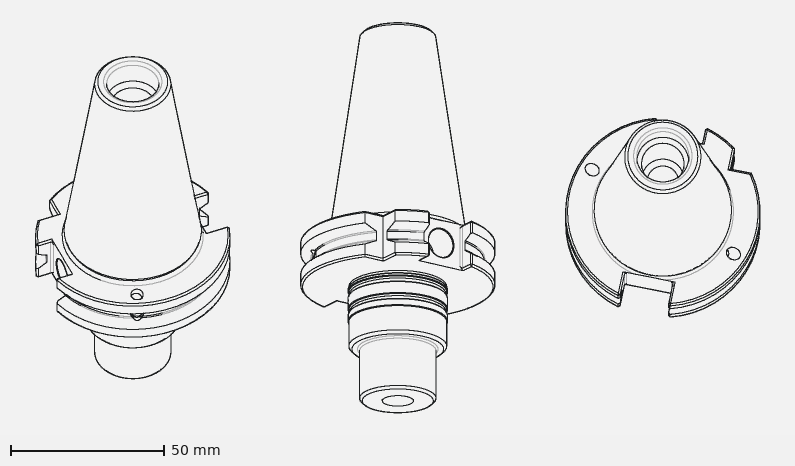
import cadquery as cq
import math

TOTAL_HEIGHT = 126.8
TAPER_RATIO = 7 / 24
GAUGE_Z = 58.3
GAUGE_DIAMETER = 44.5
TAPER_LOW_Z = 57.4
TAPER_RIM_CHAMFER = 1.0

NECK_DIAMETER = 43.7
NECK_FILLET_TOP_Z = 56.3

FLANGE_DIAMETER = 63.4
FLANGE_TOP_Z = 55.1
FLANGE_THICKNESS = 15.7
FLANGE_BOTTOM_Z = FLANGE_TOP_Z - FLANGE_THICKNESS
FLANGE_RADIUS = FLANGE_DIAMETER / 2
EDGE_CHAMFER = 0.6

GROOVE_Z = 47.3
GROOVE_ROOT_DIAMETER = 56.3
GROOVE_ROOT_WIDTH = 3.2
GROOVE_WALL_ANGLE = 30
GROOVE_ROOT_FILLET = 0.5

SLOT_WIDTH = 16.1
SLOT_CORNER_RADIUS = 0.6
FRONT_SLOT_FLOOR = 25.0
BACK_SLOT_FLOOR = 22.4
NOTCH_OFFSET = 18.6

COLLAR_DIAMETER = 32.5
BODY_DIAMETER = 32.0
BODY_BOTTOM_Z = 17.9
BODY_CHAMFER = 1.0
NOSE_DIAMETER = 25.0
NOSE_FILLET = 0.6
NOSE_CHAMFER = 0.9
COLLAR_BANDS = [(37.5, 38.7), (31.4, 35.7), (27.3, 29.8)]
COLLAR_GROOVE_ROOTS = (36.9, 30.8)
COLLAR_GROOVE_DEPTH = 0.3

MOUTH_DIAMETER = 17.0
MOUTH_ROUNDING = 1.0
MOUTH_DEPTH = 8.4
THREAD_DIAMETER = 13.8
THREAD_DEPTH = 30.4
BORE_DIAMETER = 10.1

SIDE_HOLE_DIAMETER = 10.1
SIDE_HOLE_DEPTH = 11.4
SIDE_DRILL_DIAMETER = 6.0
SIDE_HOLE_CHAMFER = 0.3
DRILL_TIP_ANGLE = 118

COOLANT_DIAMETER = 3.9
COOLANT_RADIUS = 27.0
COOLANT_ANGLES = (160, 340)
COOLANT_TILT = 35
CROSS_HOLE_DIAMETER = 3.3
CROSS_RECESS_DIAMETER = 4.3
CROSS_RECESS_DEPTH = 0.5
CROSS_HOLE_REACH = 21.5


def taper_radius(z):
    """Radius of the taper at height z."""
    return (GAUGE_DIAMETER - (z - GAUGE_Z) * TAPER_RATIO) / 2


def revolve_around_z(section):
    """Solid of revolution from a closed section on the XZ plane."""
    return section.revolve(360, (0, 0, 0), (0, 1, 0))


def make_core():
    """Taper, neck, body and nose turned as one solid around Z."""
    rim_z = TOTAL_HEIGHT - TAPER_RIM_CHAMFER
    neck_fillet = NECK_FILLET_TOP_Z - FLANGE_TOP_Z
    neck_radius = NECK_DIAMETER / 2
    body_radius = BODY_DIAMETER / 2
    nose_radius = NOSE_DIAMETER / 2
    nose_top_z = BODY_BOTTOM_Z - NOSE_FILLET
    profile = (
        cq.Workplane("XZ")
        .lineTo(nose_radius - NOSE_CHAMFER, 0)
        .lineTo(nose_radius, NOSE_CHAMFER)
        .lineTo(nose_radius, nose_top_z)
        .radiusArc((nose_radius + NOSE_FILLET, BODY_BOTTOM_Z), NOSE_FILLET)
        .lineTo(body_radius - BODY_CHAMFER, BODY_BOTTOM_Z)
        .lineTo(body_radius, BODY_BOTTOM_Z + BODY_CHAMFER)
        .lineTo(body_radius, FLANGE_TOP_Z)
        .lineTo(neck_radius + neck_fillet, FLANGE_TOP_Z)
        .radiusArc((neck_radius, NECK_FILLET_TOP_Z), neck_fillet)
        .lineTo(taper_radius(TAPER_LOW_Z), TAPER_LOW_Z)
        .lineTo(taper_radius(rim_z), rim_z)
        .lineTo(taper_radius(rim_z) - TAPER_RIM_CHAMFER, TOTAL_HEIGHT)
        .lineTo(0, TOTAL_HEIGHT)
        .close()
    )
    return revolve_around_z(profile)


def make_collar_band(bottom_z, top_z):
    """Raised band whose edges slope down to the body."""
    body_radius = BODY_DIAMETER / 2
    collar_radius = COLLAR_DIAMETER / 2
    step = collar_radius - body_radius
    section = (
        cq.Workplane("XZ")
        .moveTo(0, bottom_z)
        .lineTo(body_radius, bottom_z)
        .lineTo(collar_radius, bottom_z + step)
        .lineTo(collar_radius, top_z - step)
        .lineTo(body_radius, top_z)
        .lineTo(0, top_z)
        .close()
    )
    return revolve_around_z(section)


def make_collar_groove(bottom_z, root_z, top_z):
    """V-shaped ring cut into the body between two bands."""
    body_radius = BODY_DIAMETER / 2
    section = (
        cq.Workplane("XZ")
        .moveTo(body_radius, bottom_z)
        .lineTo(body_radius, top_z)
        .lineTo(body_radius - COLLAR_GROOVE_DEPTH, root_z)
        .close()
    )
    return revolve_around_z(section)


def make_slot(floor, side, top_z):
    """Cutter for a drive slot open towards +Y (side 1) or -Y (side -1)."""
    return (
        cq.Workplane("XY")
        .workplane(offset=FLANGE_BOTTOM_Z)
        .center(0, side * (floor + FLANGE_RADIUS / 2))
        .rect(SLOT_WIDTH, FLANGE_RADIUS)
        .extrude(top_z - FLANGE_BOTTOM_Z)
    )


def make_notch():
    """Cutter for the square corner notch on the -X, -Y side."""
    return (
        cq.Workplane("XY")
        .workplane(offset=FLANGE_BOTTOM_Z)
        .rect(FLANGE_RADIUS, FLANGE_RADIUS, centered=False)
        .extrude(FLANGE_THICKNESS)
        .rotate((0, 0, 0), (0, 0, 1), 180)
        .translate((-NOTCH_OFFSET, -NOTCH_OFFSET, 0))
    )


def make_gripper_groove():
    """Ring with a trapezoidal section, flat at the root."""
    root_radius = GROOVE_ROOT_DIAMETER / 2
    depth = FLANGE_RADIUS - root_radius
    half_root = GROOVE_ROOT_WIDTH / 2
    half_mouth = half_root + depth * math.tan(math.radians(GROOVE_WALL_ANGLE))
    section = (
        cq.Workplane("XZ")
        .moveTo(root_radius, GROOVE_Z - half_root)
        .lineTo(FLANGE_RADIUS, GROOVE_Z - half_mouth)
        .lineTo(FLANGE_RADIUS, GROOVE_Z + half_mouth)
        .lineTo(root_radius, GROOVE_Z + half_root)
        .close()
    )
    ring = revolve_around_z(section)
    root_edges = ring.edges(cq.selectors.RadiusNthSelector(0))
    return root_edges.fillet(GROOVE_ROOT_FILLET)


def make_flange():
    """Slotted and notched disc with broken edges and the gripper groove."""
    flange = (
        cq.Workplane("XY")
        .workplane(offset=FLANGE_BOTTOM_Z)
        .circle(FLANGE_RADIUS)
        .extrude(FLANGE_THICKNESS)
        .cut(make_slot(FRONT_SLOT_FLOOR, -1, FLANGE_TOP_Z))
        .cut(make_slot(BACK_SLOT_FLOOR, 1, FLANGE_TOP_Z))
        .cut(make_notch())
    )
    end_edges = flange.faces("|Z").edges()
    rims = end_edges.edges("%CIRCLE")
    walls = end_edges.edges("|Y")
    notch_edges = end_edges.edges("|X").filter(lambda edge: edge.Center().x < -NOTCH_OFFSET)
    mid_slot_y = (FRONT_SLOT_FLOOR + FLANGE_RADIUS) / 2
    slot_edges = flange.edges("|Z").filter(lambda edge: math.isclose(abs(edge.Center().x), SLOT_WIDTH / 2))
    slot_mouths = slot_edges.filter(lambda edge: abs(edge.Center().y) > mid_slot_y)
    broken_edges = rims.add(walls).add(notch_edges).add(slot_mouths)
    flange = flange.newObject(broken_edges.vals()).chamfer(EDGE_CHAMFER)

    slot_corners = flange.edges("|Z").filter(
        lambda edge: math.isclose(edge.Center().y, -FRONT_SLOT_FLOOR)
        or math.isclose(edge.Center().y, BACK_SLOT_FLOOR)
    )
    flange = slot_corners.fillet(SLOT_CORNER_RADIUS)
    return flange.cut(make_gripper_groove())


def make_bore():
    """Stepped bore along the whole axis, with conical shoulders."""
    mouth_radius = MOUTH_DIAMETER / 2
    thread_radius = THREAD_DIAMETER / 2
    bore_radius = BORE_DIAMETER / 2
    mouth_z = TOTAL_HEIGHT - MOUTH_DEPTH
    thread_z = TOTAL_HEIGHT - THREAD_DEPTH
    section = (
        cq.Workplane("XZ")
        .lineTo(bore_radius, 0)
        .lineTo(bore_radius, thread_z - (thread_radius - bore_radius))
        .lineTo(thread_radius, thread_z)
        .lineTo(thread_radius, mouth_z - (mouth_radius - thread_radius))
        .lineTo(mouth_radius, mouth_z)
        .lineTo(mouth_radius, TOTAL_HEIGHT - MOUTH_ROUNDING)
        .radiusArc((mouth_radius + MOUTH_ROUNDING, TOTAL_HEIGHT), MOUTH_ROUNDING)
        .lineTo(0, TOTAL_HEIGHT)
        .close()
    )
    return revolve_around_z(section)


def make_side_hole():
    """Flat-bottomed hole along Y, with a smaller conical drill tip in its floor."""
    hole_radius = SIDE_HOLE_DIAMETER / 2
    drill_radius = SIDE_DRILL_DIAMETER / 2
    bottom_y = -FRONT_SLOT_FLOOR + SIDE_HOLE_DEPTH
    tip_length = drill_radius / math.tan(math.radians(DRILL_TIP_ANGLE / 2))
    section = (
        cq.Workplane("XY")
        .workplane(offset=GROOVE_Z)
        .moveTo(0, -FRONT_SLOT_FLOOR)
        .lineTo(hole_radius, -FRONT_SLOT_FLOOR)
        .lineTo(hole_radius - SIDE_HOLE_CHAMFER, -FRONT_SLOT_FLOOR + SIDE_HOLE_CHAMFER)
        .lineTo(hole_radius - SIDE_HOLE_CHAMFER, bottom_y)
        .lineTo(drill_radius + SIDE_HOLE_CHAMFER, bottom_y)
        .lineTo(drill_radius, bottom_y + SIDE_HOLE_CHAMFER)
        .lineTo(0, bottom_y + SIDE_HOLE_CHAMFER + tip_length)
        .close()
    )
    return section.revolve(360, (0, 0, 0), (0, 1, 0))


def make_coolant_hole(angle):
    """Tilted hole from the flange top that meets a radial hole from the groove."""
    tilt = math.radians(COOLANT_TILT)
    mouth = cq.Vector(COOLANT_RADIUS, 0, FLANGE_TOP_Z)
    inward = cq.Vector(-math.sin(tilt), 0, -math.cos(tilt))
    tilted_length = (FLANGE_TOP_Z - GROOVE_Z) / math.cos(tilt)
    lead_in = COOLANT_DIAMETER
    radius = COOLANT_DIAMETER / 2
    tilted = cq.Solid.makeCylinder(radius, tilted_length + lead_in, mouth - inward * lead_in, inward)
    outward = cq.Vector(1, 0, 0)
    radial = cq.Solid.makeCylinder(
        CROSS_HOLE_DIAMETER / 2,
        FLANGE_RADIUS - CROSS_HOLE_REACH,
        cq.Vector(CROSS_HOLE_REACH, 0, GROOVE_Z),
        outward,
    )
    recess_floor = GROOVE_ROOT_DIAMETER / 2 - CROSS_RECESS_DEPTH
    recess = cq.Solid.makeCylinder(
        CROSS_RECESS_DIAMETER / 2,
        FLANGE_RADIUS - recess_floor,
        cq.Vector(recess_floor, 0, GROOVE_Z),
        outward,
    )
    return cq.Workplane(tilted.fuse(radial, recess)).rotate((0, 0, 0), (0, 0, 1), angle)


core = make_core().cut(make_slot(BACK_SLOT_FLOOR, 1, TAPER_LOW_Z))
result = core.union(make_flange())
for band_bottom, band_top in COLLAR_BANDS:
    result = result.union(make_collar_band(band_bottom, band_top))
for upper_band, lower_band, groove_root in zip(COLLAR_BANDS, COLLAR_BANDS[1:], COLLAR_GROOVE_ROOTS):
    groove_top = upper_band[0]
    groove_bottom = lower_band[1]
    result = result.cut(make_collar_groove(groove_bottom, groove_root, groove_top))
result = result.cut(make_bore()).cut(make_side_hole())
for hole_angle in COOLANT_ANGLES:
    result = result.cut(make_coolant_hole(hole_angle))